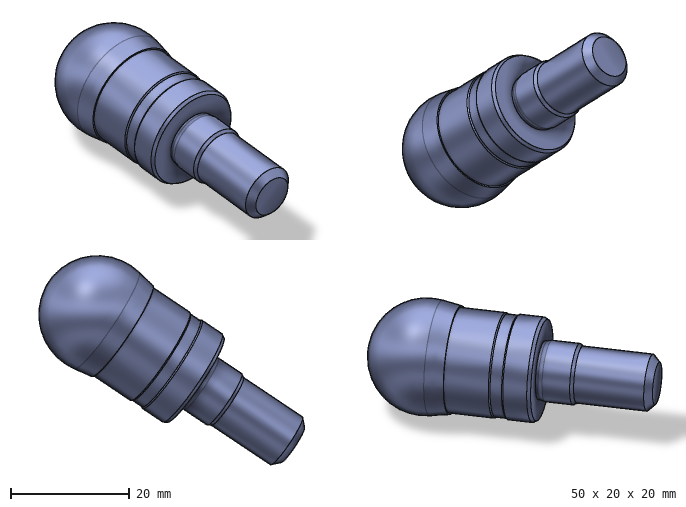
import cadquery as cq
import math


ball_radius = 10.0
cap_length = 15.0
cone_half_angle = math.radians(10)

body_radius = 18.0 / 2
body_end = 30.0
body_chamfer_length = 0.6
body_chamfer_depth = 0.35
groove_radius = 17.6 / 2
groove_start = 22.75
groove_end = 25.25
groove_wall_length = 0.25

neck_radius = 5.05
neck_length = 0.45
neck_taper_length = 0.75
land_radius = 10.5 / 2
land_end = 36.0
land_taper_length = 0.6
shaft_radius = 9.75 / 2
shaft_end = 50.0
shaft_chamfer = 1.25


def revolve_about_x(profile):
    """Close a half profile on the X axis and turn it into a solid."""
    return profile.close().revolve(360, (0, 0, 0), (1, 0, 0))


def make_cap():
    """Ball with a tapering skirt and a flat back face."""
    tangent_x = ball_radius * (1 + math.sin(cone_half_angle))
    tangent_radius = ball_radius * math.cos(cone_half_angle)
    back_radius = tangent_radius - (cap_length - tangent_x) * math.tan(cone_half_angle)
    profile = (
        cq.Workplane("XY")
        .moveTo(0, 0)
        .threePointArc((ball_radius, ball_radius), (tangent_x, tangent_radius))
        .lineTo(cap_length, back_radius)
        .lineTo(cap_length, 0)
    )
    return revolve_about_x(profile)


def make_pin():
    """Grooved body and stepped shank in one piece, seated on the back of the cap."""
    neck_end = body_end + neck_length
    body_points = [
        (cap_length, 0),
        (cap_length, body_radius),
        (groove_start, body_radius),
        (groove_start + groove_wall_length, groove_radius),
        (groove_end - groove_wall_length, groove_radius),
        (groove_end, body_radius),
        (body_end - body_chamfer_length, body_radius),
        (body_end, body_radius - body_chamfer_depth),
    ]
    shank_points = [
        (body_end, neck_radius),
        (neck_end, neck_radius),
        (neck_end + neck_taper_length, land_radius),
        (land_end, land_radius),
        (land_end + land_taper_length, shaft_radius),
        (shaft_end - shaft_chamfer, shaft_radius),
        (shaft_end, shaft_radius - shaft_chamfer),
        (shaft_end, 0),
    ]
    return revolve_about_x(cq.Workplane("XY").polyline(body_points + shank_points))


cap = make_cap()
pin = make_pin()

result = cq.Compound.makeCompound([cap.val(), pin.val()])